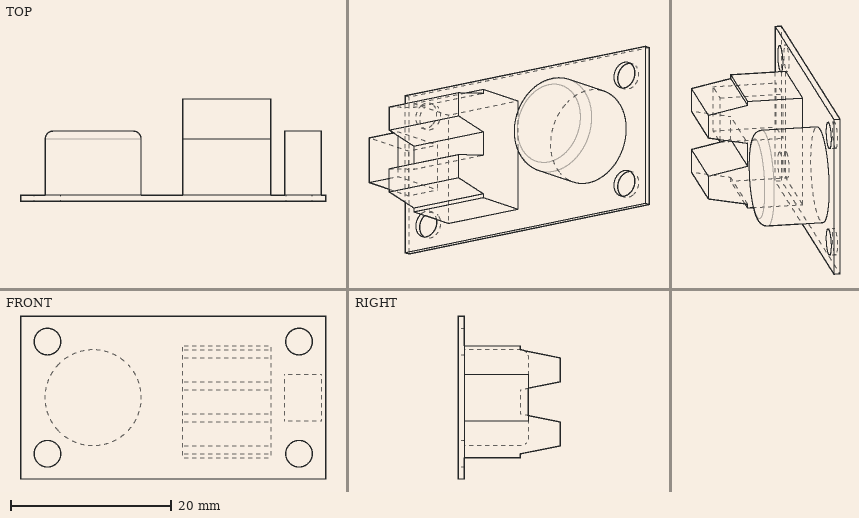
import cadquery as cq

board_length = 38.1
board_height = 20.32
board_thickness = 0.79

hole_diameter = 3.3
hole_spacing_x = 31.4
hole_spacing_z = 14.0

can_diameter = 12.0
can_height = 8.0
can_rim_radius = 1.0
can_x = -10.0

connector_x = 6.68
connector_z = -0.53
connector_length = 11.0
connector_base_height = 7.0
connector_width = 14.0
ridge_height = 5.0
ridge_root_width = 5.0
ridge_tip_width = 3.0
ridge_spacing = 8.0

block_x = 16.2
block_z = 0.0
block_length = 4.6
block_height = 8.0
block_width = 5.8

seat_depth = board_thickness / 2


def box_on_board(center_x, center_z, length, width, height):
    """Rectangular body standing on the component side of the board."""
    depth = height + seat_depth
    center_y = height - depth / 2
    return cq.Workplane("XY").box(length, depth, width).translate((center_x, center_y, center_z))


def make_board():
    board = cq.Workplane("XY").box(board_length, board_thickness, board_height)
    board = board.translate((0, -board_thickness / 2, 0))
    return (
        board.faces("<Y")
        .workplane(centerOption="CenterOfBoundBox")
        .rect(hole_spacing_x, hole_spacing_z, forConstruction=True)
        .vertices()
        .hole(hole_diameter)
    )


def make_can():
    """Solid of revolution about an axis parallel to Y."""
    radius = can_diameter / 2
    can = cq.Workplane("XZ").center(can_x, 0).circle(radius).extrude(-can_height)
    return can.faces(">Y").edges().fillet(can_rim_radius)


def make_ridge(center_z):
    """Trapezoidal ridge running along X on top of the connector base."""
    root_y = connector_base_height
    tip_y = root_y + ridge_height
    profile = [
        (root_y, center_z - ridge_root_width / 2),
        (tip_y, center_z - ridge_tip_width / 2),
        (tip_y, center_z + ridge_tip_width / 2),
        (root_y, center_z + ridge_root_width / 2),
    ]
    start_x = connector_x - connector_length / 2
    return cq.Workplane("YZ", origin=(start_x, 0, 0)).polyline(profile).close().extrude(connector_length)


def make_connector():
    connector = box_on_board(
        connector_x, connector_z, connector_length, connector_width, connector_base_height
    )
    for side in (-1, 1):
        connector = connector.union(make_ridge(connector_z + side * ridge_spacing / 2))
    return connector


def make_block():
    return box_on_board(block_x, block_z, block_length, block_width, block_height)


result = make_board().union(make_can()).union(make_connector()).union(make_block())